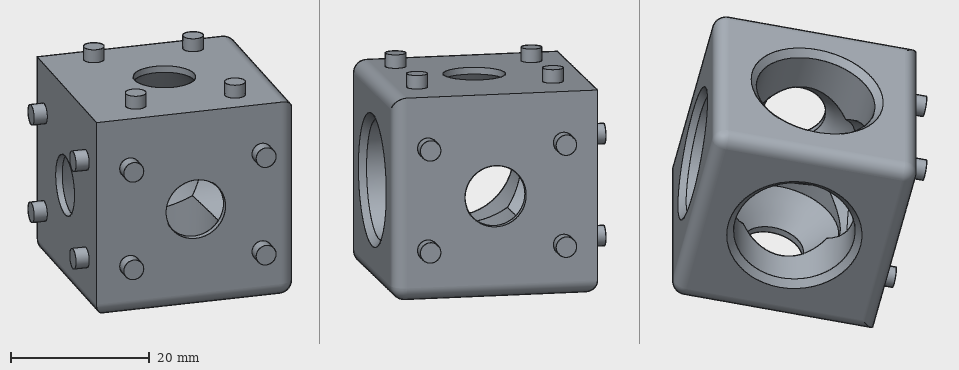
import cadquery as cq

overall = 32
pin_length = 2.0
cube = overall - pin_length
edge_radius = 2.0

pin_diameter = 3.0
pin_spacing_wide = 20.0
pin_spacing_narrow = 15.0

small_diameter = 9.0
large_diameter = 17.5
mouth_diameter = 19.5
mouth_depth = 1.0
lip_depth = 1.0
taper_length = (large_diameter - small_diameter) / 2


def rounded_cube():
    """Cube centred on the origin; the three edges between the pin faces stay sharp."""
    body = cq.Workplane("XY").box(cube, cube, cube)
    return body.edges("<X or >Y or <Z").fillet(edge_radius)


def pins(face):
    """Four pins standing on a pin face, its wide spacing along the plane's x direction."""
    return (
        face.rarray(pin_spacing_wide, pin_spacing_narrow, 2, 2)
        .circle(pin_diameter / 2)
        .extrude(pin_length)
    )


def passage(face):
    """Narrow lip behind a pin face, a cone, a wide bore, then a flared mouth opposite."""
    profile = [
        (0, 0),
        (small_diameter / 2, 0),
        (small_diameter / 2, -lip_depth),
        (large_diameter / 2, -lip_depth - taper_length),
        (large_diameter / 2, mouth_depth - cube),
        (mouth_diameter / 2, -cube),
        (0, -cube),
    ]
    return face.polyline(profile).close().revolve(360, (0, 0), (0, 1))


def pin_face(x_direction, normal):
    """Workplane on the middle of the pin face with the given outward normal."""
    origin = cq.Vector(*normal) * (cube / 2)
    return cq.Workplane(cq.Plane(origin, x_direction, normal))


def section_plane(x_direction, normal):
    """Workplane through a passage axis, its y direction pointing out of the pin face."""
    outward = cq.Vector(*normal)
    across = cq.Vector(*x_direction)
    return cq.Workplane(cq.Plane(outward * (cube / 2), across, across.cross(outward)))


pin_faces = [
    ((0, 1, 0), (1, 0, 0)),
    ((1, 0, 0), (0, -1, 0)),
    ((1, 0, 0), (0, 0, 1)),
]

result = rounded_cube()
for wide_direction, outward_normal in pin_faces:
    result = result.cut(passage(section_plane(wide_direction, outward_normal)))
for wide_direction, outward_normal in pin_faces:
    result = result.union(pins(pin_face(wide_direction, outward_normal)))

result = result.translate((-pin_length / 2, pin_length / 2, -pin_length / 2))